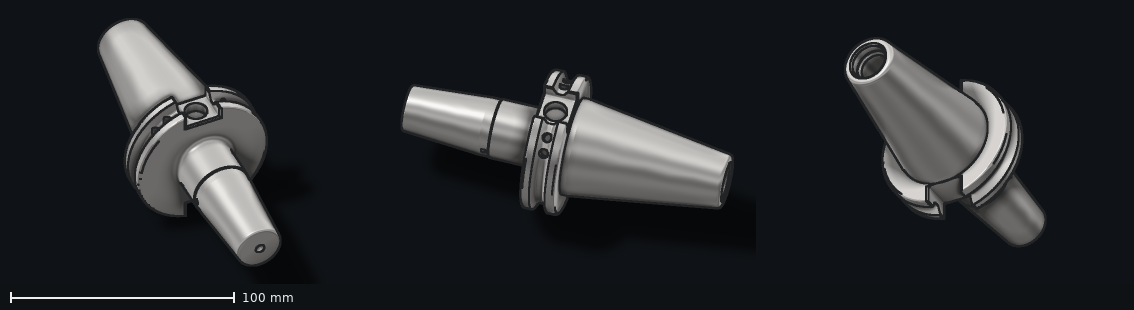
import cadquery as cq
import math


total_length = 148.2
gauge_line_x = 68.2
flange_start_x = 71.3
flange_width = 15.9
flange_end_x = flange_start_x + flange_width
neck_end_x = 106.7
nose_taper_start_x = 111.5

gauge_radius = 22.2
taper_slope = 7 / 48
taper_end_radius = gauge_radius - taper_slope * gauge_line_x
flange_diameter = 63.5
flange_radius = flange_diameter / 2
neck_radius = 13.5
nose_radius = 13.2
nose_end_radius = 10.5

taper_end_round = 2.0
flange_rim_round = 1.0
neck_fillet = 3.3
neck_step_chamfer = 0.5
nose_end_round = 1.5

groove_x = 79.3
groove_mouth_width = 7.3
groove_floor_radius = 28.0
groove_floor_fillet = 1.0
groove_wall_angle = 30.0

slot_width = 16.2
slot_bevel_width = 1.0
slot_bevel_depth = 0.6
slot_rim_bevel = 0.5
slot_corner_radius = 0.9
upper_slot_floor_z = 24.9
lower_slot_floor_depth = 22.0

pocket_diameter = 10.2
pocket_depth = 5.0

balance_hole_diameter = 4.0
balance_hole_depth = 4.5
balance_hole_angles = (30.0, 45.0)

mouth_chamfer = 0.9
mouth_radius = 8.3
mouth_depth = 5.0
lead_in_radius = 8.0
core_radius = 6.7
core_depth = 35.6
core_tip_angle = 59.0
through_radius = 2.1

cross_hole_x = 109.1
cross_hole_diameter = 2.4


def revolve_about_x(profile):
    return profile.close().revolve(360, (0, 0, 0), (1, 0, 0))


def turned_body():
    profile = (
        cq.Workplane("XZ")
        .lineTo(0, taper_end_radius)
        .lineTo(gauge_line_x, gauge_radius)
        .lineTo(flange_start_x, gauge_radius)
        .lineTo(flange_start_x, flange_radius - flange_rim_round)
        .radiusArc((flange_start_x + flange_rim_round, flange_radius), flange_rim_round)
        .lineTo(flange_end_x - flange_rim_round, flange_radius)
        .radiusArc((flange_end_x, flange_radius - flange_rim_round), flange_rim_round)
        .lineTo(flange_end_x, neck_radius + neck_fillet)
        .radiusArc((flange_end_x + neck_fillet, neck_radius), -neck_fillet)
        .lineTo(neck_end_x, neck_radius)
        .lineTo(neck_end_x + neck_step_chamfer, nose_radius)
        .lineTo(nose_taper_start_x, nose_radius)
        .lineTo(total_length, nose_end_radius)
        .lineTo(total_length, 0)
    )
    body = revolve_about_x(profile)
    body = body.faces("<X").edges().fillet(taper_end_round)
    return body.faces(">X").edges().fillet(nose_end_round)


def v_groove():
    mouth_half = groove_mouth_width / 2
    wall_run = (flange_radius - groove_floor_radius) * math.tan(math.radians(groove_wall_angle))
    floor_half = mouth_half - wall_run
    outside_radius = flange_radius + 1.5
    profile = (
        cq.Workplane("XZ")
        .moveTo(groove_x - mouth_half, outside_radius)
        .lineTo(groove_x - mouth_half, flange_radius)
        .lineTo(groove_x - floor_half, groove_floor_radius)
        .lineTo(groove_x + floor_half, groove_floor_radius)
        .lineTo(groove_x + mouth_half, flange_radius)
        .lineTo(groove_x + mouth_half, outside_radius)
    )
    ring = revolve_about_x(profile)
    floor_edges = cq.selectors.RadiusNthSelector(0)
    return ring.edges("%CIRCLE").edges(floor_edges).fillet(groove_floor_fillet)


def slot_channel(floor_z):
    """Upward-opening channel along X: rounded floor corners, edges bevelled at the flange rim."""
    half_width = slot_width / 2
    edge_half_width = half_width + slot_rim_bevel
    edge_z = math.sqrt(flange_radius**2 - edge_half_width**2)
    overshoot = flange_radius - edge_z
    channel = (
        cq.Workplane("YZ", origin=(flange_start_x, 0, 0))
        .center(0, (floor_z + flange_radius) / 2)
        .rect(slot_width, flange_radius - floor_z)
        .extrude(flange_width)
        .edges("|X and <Z")
        .fillet(slot_corner_radius)
    )
    rim_bevel = (
        cq.Workplane("YZ", origin=(flange_start_x, 0, 0))
        .moveTo(-half_width, edge_z - slot_rim_bevel)
        .lineTo(half_width, edge_z - slot_rim_bevel)
        .lineTo(edge_half_width + overshoot, edge_z + overshoot)
        .lineTo(-edge_half_width - overshoot, edge_z + overshoot)
        .close()
        .extrude(flange_width)
    )
    return channel.union(rim_bevel)


def slot_end_flare(face_x, inward, floor_z, floor_bevel):
    """Wedge that widens a slot at one flange face and lowers its floor there by floor_bevel."""
    height = flange_radius - floor_z
    return (
        cq.Workplane("YZ", origin=(face_x, 0, 0))
        .center(0, flange_radius - (height + floor_bevel) / 2)
        .rect(slot_width + 2 * slot_bevel_width, height + floor_bevel)
        .workplane(offset=inward * slot_bevel_depth)
        .center(0, floor_bevel / 2)
        .rect(slot_width, height)
        .loft(ruled=True)
    )


def drive_slot(floor_z, floor_bevel):
    start_flare = slot_end_flare(flange_start_x, 1, floor_z, floor_bevel)
    end_flare = slot_end_flare(flange_end_x, -1, floor_z, floor_bevel)
    return slot_channel(floor_z).union(start_flare).union(end_flare)


def slot_pocket():
    return (
        cq.Workplane("XY", origin=(groove_x, 0, upper_slot_floor_z - pocket_depth))
        .circle(pocket_diameter / 2)
        .extrude(pocket_depth)
    )


def balance_hole(angle):
    return (
        cq.Workplane("XY", origin=(groove_x, 0, groove_floor_radius - balance_hole_depth))
        .circle(balance_hole_diameter / 2)
        .extrude(flange_radius - groove_floor_radius + balance_hole_depth)
        .rotate((0, 0, 0), (1, 0, 0), angle)
    )


def stepped_bore():
    lead_in_end_x = mouth_depth + lead_in_radius - core_radius
    tip_length = (core_radius - through_radius) / math.tan(math.radians(core_tip_angle))
    profile = (
        cq.Workplane("XZ")
        .lineTo(0, mouth_radius + mouth_chamfer)
        .lineTo(mouth_chamfer, mouth_radius)
        .lineTo(mouth_depth, mouth_radius)
        .lineTo(mouth_depth, lead_in_radius)
        .lineTo(lead_in_end_x, core_radius)
        .lineTo(core_depth, core_radius)
        .lineTo(core_depth + tip_length, through_radius)
        .lineTo(total_length, through_radius)
        .lineTo(total_length, 0)
    )
    return revolve_about_x(profile)


def cross_hole():
    return (
        cq.Workplane("XZ", origin=(cross_hole_x, 0, 0))
        .circle(cross_hole_diameter / 2)
        .extrude(neck_radius, both=True)
    )


result = turned_body().cut(v_groove())
result = result.cut(drive_slot(upper_slot_floor_z, slot_bevel_width))
lower_slot = drive_slot(lower_slot_floor_depth, 0).rotate((0, 0, 0), (1, 0, 0), 180)
result = result.cut(lower_slot)
result = result.cut(slot_pocket())
for hole_angle in balance_hole_angles:
    for side in (1, -1):
        result = result.cut(balance_hole(side * hole_angle))
result = result.cut(stepped_bore())
result = result.cut(cross_hole())